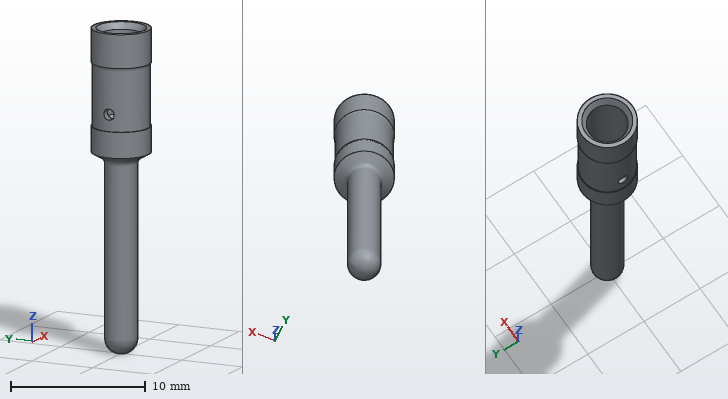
import cadquery as cq
import math

LENGTH = 25.0

BARREL_RADIUS = 4.5 / 2
WAIST_RADIUS = 4.34 / 2
RIM_COLLAR_DEPTH = 2.6
WAIST_END_DEPTH = 7.5
BARREL_END_DEPTH = 9.5
WAIST_FILLET = 0.5

PIN_RADIUS = 2.5 / 2
SHOULDER_SLOPE = math.radians(30)
SHOULDER_FILLET = 0.5
TIP_RADIUS = 1.2

BORE_RADIUS = 3.1 / 2
BORE_DEPTH = 7.0
DRILL_POINT_ANGLE = math.radians(118)
MOUTH_RADIUS = 3.8 / 2
MOUTH_DEPTH = 0.5

INSPECTION_DIAMETER = 0.85
INSPECTION_DEPTH = 6.2


def revolve_about_z(profile):
    """Revolve an XZ profile a full turn about the Z axis."""
    return profile.close().revolve(360, (0, 0, 0), (0, 1, 0))


def outer_body():
    """Stepped barrel, sloped shoulder and round-ended pin."""
    step = BARREL_RADIUS - WAIST_RADIUS
    sweep = math.acos(1 - step / WAIST_FILLET)
    waist_top = -RIM_COLLAR_DEPTH - WAIST_FILLET * math.sin(sweep)
    waist_arc_mid = (
        WAIST_RADIUS + WAIST_FILLET * (1 - math.cos(sweep / 2)),
        waist_top + WAIST_FILLET * math.sin(sweep / 2),
    )

    shoulder_drop = (BARREL_RADIUS - PIN_RADIUS) * math.tan(SHOULDER_SLOPE)
    turn = math.pi / 2 - SHOULDER_SLOPE
    tangent_length = SHOULDER_FILLET * math.tan(turn / 2)
    pin_top = -BARREL_END_DEPTH - shoulder_drop - tangent_length
    shoulder_arc_start = (
        PIN_RADIUS + SHOULDER_FILLET * (1 - math.cos(turn)),
        pin_top + SHOULDER_FILLET * math.sin(turn),
    )
    shoulder_arc_mid = (
        PIN_RADIUS + SHOULDER_FILLET * (1 - math.cos(turn / 2)),
        pin_top + SHOULDER_FILLET * math.sin(turn / 2),
    )

    tip_flat = PIN_RADIUS - TIP_RADIUS
    tip_arc_start = TIP_RADIUS - LENGTH
    tip_arc_mid = (
        tip_flat + TIP_RADIUS * math.cos(math.pi / 4),
        tip_arc_start - TIP_RADIUS * math.sin(math.pi / 4),
    )

    profile = (
        cq.Workplane("XZ")
        .moveTo(0, 0)
        .lineTo(BARREL_RADIUS, 0)
        .lineTo(BARREL_RADIUS, -RIM_COLLAR_DEPTH)
        .threePointArc(waist_arc_mid, (WAIST_RADIUS, waist_top))
        .lineTo(WAIST_RADIUS, -WAIST_END_DEPTH)
        .lineTo(BARREL_RADIUS, -WAIST_END_DEPTH)
        .lineTo(BARREL_RADIUS, -BARREL_END_DEPTH)
        .lineTo(*shoulder_arc_start)
        .threePointArc(shoulder_arc_mid, (PIN_RADIUS, pin_top))
        .lineTo(PIN_RADIUS, tip_arc_start)
        .threePointArc(tip_arc_mid, (tip_flat, -LENGTH))
        .lineTo(0, -LENGTH)
    )
    return revolve_about_z(profile)


def wire_bore():
    """Blind bore with a tapered mouth and a conical drill-point bottom."""
    point_height = BORE_RADIUS / math.tan(DRILL_POINT_ANGLE / 2)
    profile = (
        cq.Workplane("XZ")
        .moveTo(0, 0)
        .lineTo(MOUTH_RADIUS, 0)
        .lineTo(BORE_RADIUS, -MOUTH_DEPTH)
        .lineTo(BORE_RADIUS, -BORE_DEPTH)
        .lineTo(0, -BORE_DEPTH - point_height)
    )
    return revolve_about_z(profile)


def inspection_hole():
    """Radial hole from the bore axis out through the -X wall."""
    return (
        cq.Workplane("YZ")
        .center(0, -INSPECTION_DEPTH)
        .circle(INSPECTION_DIAMETER / 2)
        .extrude(-BARREL_RADIUS)
    )


result = outer_body().cut(wire_bore()).cut(inspection_hole())